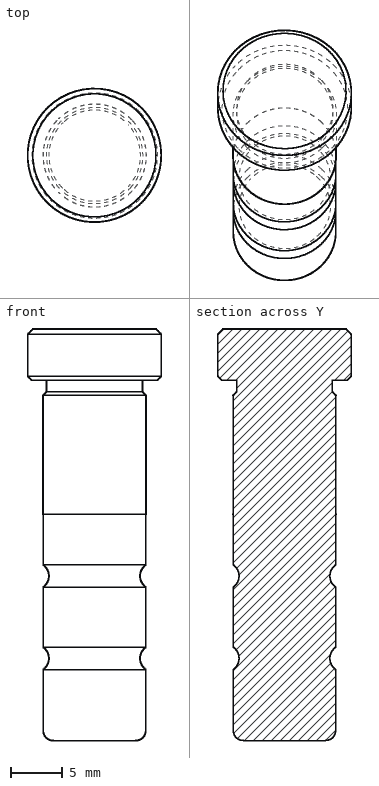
import cadquery as cq

length = 40.0
head_diameter = 13.0
head_height = 5.0
shank_diameter = 10.0
fit_diameter = 10.05
fit_base = 22.0

head_top_chamfer = 0.5
head_bottom_chamfer = 0.4
tip_fillet = 1.0

neck_height = 1.1
neck_depth = 0.3

groove_pitch = 8.0
groove_count = 2
groove_width = 2.15
groove_depth = 0.55

head_radius = head_diameter / 2
shank_radius = shank_diameter / 2
fit_radius = fit_diameter / 2
neck_radius = shank_radius - neck_depth
head_base = length - head_height
neck_base = head_base - neck_height
fit_top = neck_base - (fit_radius - neck_radius)


def add_groove(profile, center_height):
    """Extend the upward-running shank outline through one arc groove."""
    half_width = groove_width / 2
    return profile.lineTo(shank_radius, center_height - half_width).threePointArc(
        (shank_radius - groove_depth, center_height),
        (shank_radius, center_height + half_width),
    )


profile = (
    cq.Workplane("XZ")
    .lineTo(shank_radius - tip_fillet, 0)
    .radiusArc((shank_radius, tip_fillet), -tip_fillet)
)
for index in range(groove_count):
    profile = add_groove(profile, (index + 1) * groove_pitch)

profile = (
    profile.lineTo(shank_radius, fit_base)
    .lineTo(fit_radius, fit_base)
    .lineTo(fit_radius, fit_top)
    .lineTo(neck_radius, neck_base)
    .lineTo(neck_radius, head_base)
    .lineTo(head_radius - head_bottom_chamfer, head_base)
    .lineTo(head_radius, head_base + head_bottom_chamfer)
    .lineTo(head_radius, length - head_top_chamfer)
    .lineTo(head_radius - head_top_chamfer, length)
    .lineTo(0, length)
    .close()
)

result = profile.revolve(360, (0, 0, 0), (0, 1, 0))